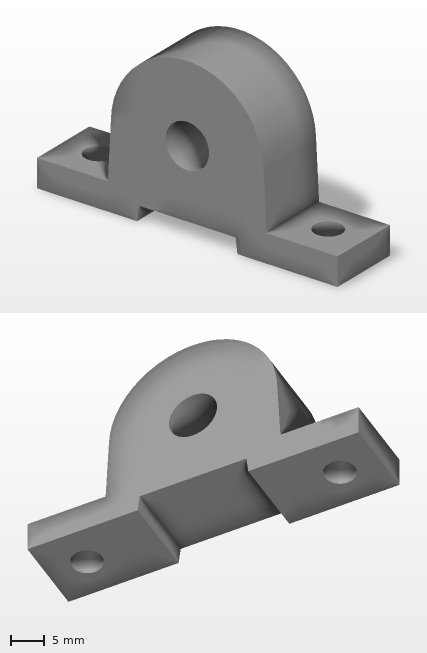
import cadquery as cq
import math

length = 55.0
depth = 13.0
flange_height = 5.0
mount_hole_diameter = 5.0
mount_hole_spacing = 42.0

total_height = 29.0
crown_radius = 13.95
shoulder_height = 15.45
housing_foot_width = 29.05
bore_diameter = 8.0
bore_height = total_height - crown_radius

relief_height = 2.65
relief_bottom_width = 18.35
relief_top_width = 17.7

shoulder_x = math.sqrt(crown_radius**2 - (shoulder_height - bore_height) ** 2)
foot_x = housing_foot_width / 2


def make_body():
    """Extrude the pillow block profile, centred on Y."""
    return (
        cq.Workplane("XZ")
        .moveTo(-length / 2, 0)
        .lineTo(-relief_bottom_width / 2, 0)
        .lineTo(-relief_top_width / 2, relief_height)
        .lineTo(relief_top_width / 2, relief_height)
        .lineTo(relief_bottom_width / 2, 0)
        .lineTo(length / 2, 0)
        .lineTo(length / 2, flange_height)
        .lineTo(foot_x, flange_height)
        .lineTo(shoulder_x, shoulder_height)
        .threePointArc((0, total_height), (-shoulder_x, shoulder_height))
        .lineTo(-foot_x, flange_height)
        .lineTo(-length / 2, flange_height)
        .close()
        .extrude(depth / 2, both=True)
    )


def make_bore():
    """Shaft bore running through the housing along Y."""
    return (
        cq.Workplane("XZ")
        .center(0, bore_height)
        .circle(bore_diameter / 2)
        .extrude(depth, both=True)
    )


def make_mount_holes():
    """Vertical through holes, one in each end of the flange."""
    return (
        cq.Workplane("XY")
        .pushPoints([(side * mount_hole_spacing / 2, 0) for side in (-1, 1)])
        .circle(mount_hole_diameter / 2)
        .extrude(flange_height)
    )


result = make_body().cut(make_bore()).cut(make_mount_holes())